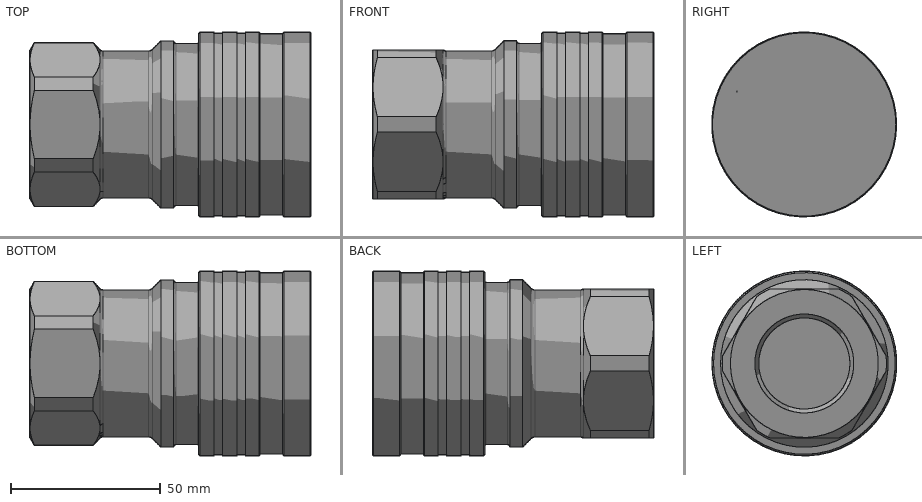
import cadquery as cq
import math

length = 94.25

hex_across_flats = 50.0
hex_corner_radius = 27.5
hex_corner_end = 21.3
hex_face_radius = 24.8
hex_face_chamfer_angle = 30.0

neck_radius = 24.7
neck_start = 24.5
neck_end = 39.9
hex_fillet_radius = 1.3
collar_fillet_radius = 1.8

collar_radius = 28.1
collar_end = 48.3
shank_radius = 27.2
shank_fillet_radius = 0.3

sleeve_start = 56.55
sleeve_radius = 31.0
sleeve_back_chamfer = 0.6
sleeve_front_chamfer = 0.3
sleeve_grooves = [
    (61.7, 2.8, 0.4, 0.0),
    (69.5, 2.8, 0.4, 0.0),
    (76.9, 8.3, 0.6, 0.4),
]

bore_radius = 15.3
bore_chamfer = 1.3
bore_depth = 19.0

COS_45 = math.cos(math.radians(45))


def make_turned_body():
    """Revolve the outer profile, given as (x, radius), about the X axis."""
    face_chamfer = (hex_corner_radius - hex_face_radius) * math.tan(math.radians(hex_face_chamfer_angle))

    hex_fillet_run = hex_fillet_radius * COS_45
    hex_fillet_top = neck_radius + hex_fillet_radius * (1 - COS_45)
    collar_fillet_run = collar_fillet_radius * COS_45
    collar_fillet_top = neck_radius + collar_fillet_radius * (1 - COS_45)
    collar_cone_start = neck_end + collar_fillet_run
    collar_start = collar_cone_start + collar_radius - collar_fillet_top
    collar_step = collar_radius - shank_radius

    return (
        cq.Workplane("XY")
        .moveTo(0, 0)
        .lineTo(0, hex_face_radius)
        .lineTo(face_chamfer, hex_corner_radius)
        .lineTo(hex_corner_end, hex_corner_radius)
        .lineTo(neck_start - hex_fillet_run, hex_fillet_top)
        .radiusArc((neck_start, neck_radius), -hex_fillet_radius)
        .lineTo(neck_end, neck_radius)
        .radiusArc((collar_cone_start, collar_fillet_top), -collar_fillet_radius)
        .lineTo(collar_start, collar_radius)
        .lineTo(collar_end, collar_radius)
        .radiusArc((collar_end + collar_step, shank_radius), -collar_step)
        .lineTo(sleeve_start - shank_fillet_radius, shank_radius)
        .radiusArc((sleeve_start, shank_radius + shank_fillet_radius), -shank_fillet_radius)
        .lineTo(sleeve_start, sleeve_radius - sleeve_back_chamfer)
        .lineTo(sleeve_start + sleeve_back_chamfer, sleeve_radius)
        .lineTo(length - sleeve_front_chamfer, sleeve_radius)
        .lineTo(length, sleeve_radius - sleeve_front_chamfer)
        .lineTo(length, 0)
        .close()
        .revolve(360, (0, 0, 0), (1, 0, 0))
    )


def make_hex_trim():
    """Ring outside the hexagon, which leaves six flats with two of them facing +Z and -Z."""
    hex_across_corners = hex_across_flats / math.cos(math.radians(30))
    return (
        cq.Workplane("YZ")
        .circle(hex_across_corners)
        .polygon(6, hex_across_corners)
        .extrude(neck_start)
    )


def make_groove(start, width, depth, wall_run):
    """Ring groove around the sleeve; each wall moves inward by wall_run from mouth to floor."""
    end = start + width
    floor_radius = sleeve_radius - depth
    outside_radius = sleeve_radius + depth
    return (
        cq.Workplane("XY")
        .polyline([
            (start, outside_radius),
            (start, sleeve_radius),
            (start + wall_run, floor_radius),
            (end - wall_run, floor_radius),
            (end, sleeve_radius),
            (end, outside_radius),
        ])
        .close()
        .revolve(360, (0, 0, 0), (1, 0, 0))
    )


def make_bore():
    """Blind bore with a 45 degree chamfer at its mouth."""
    return (
        cq.Workplane("XY")
        .moveTo(0, 0)
        .lineTo(0, bore_radius + bore_chamfer)
        .lineTo(bore_chamfer, bore_radius)
        .lineTo(bore_depth, bore_radius)
        .lineTo(bore_depth, 0)
        .close()
        .revolve(360, (0, 0, 0), (1, 0, 0))
    )


result = make_turned_body().cut(make_hex_trim())
for start, width, depth, wall_run in sleeve_grooves:
    result = result.cut(make_groove(start, width, depth, wall_run))
result = result.cut(make_bore())